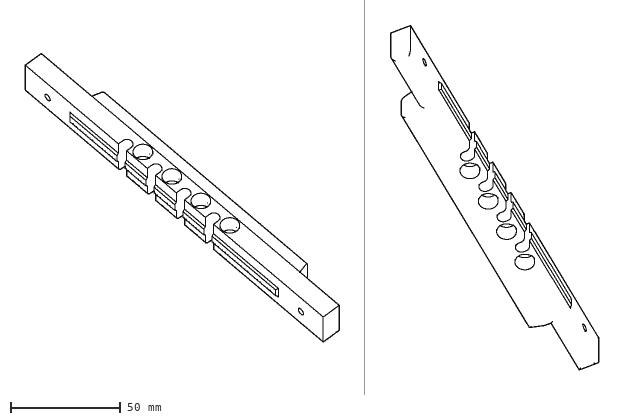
import cadquery as cq

bar_length = 200.0
bar_depth = 10.0
bar_height = 20.0
edge_radius = 2.0

block_length = 140.0
block_depth = 10.0
block_height = 13.5
block_straight_depth = 3.0
block_end_taper = 2.0

strip_length = block_length
strip_height = 6.2
strip_thickness = 1.0
strip_slope_angle = 45.0

cross_hole_diameter = 3.5
cross_hole_inset = 15.0

station_count = 4
station_pitch = 19.45
first_hole_x = -26.4
hole_to_slot = 8.3
pocket_diameter = 9.0
pilot_diameter = 3.0
web_thickness = 2.0
slot_width = 5.5
slot_depth = 5.5


def make_body():
    """Bar and rear block, with the underside rim and the top rear edge rounded."""
    half_bar = bar_length / 2
    half_block = block_length / 2
    half_back = half_block - block_end_taper
    back_y = bar_depth + block_depth
    taper_y = bar_depth + block_straight_depth

    bar = cq.Workplane("XY").box(bar_length, bar_depth, bar_height, centered=(True, False, False))
    block = (
        cq.Workplane("XY")
        .moveTo(-half_block, bar_depth)
        .lineTo(half_block, bar_depth)
        .lineTo(half_block, taper_y)
        .lineTo(half_back, back_y)
        .lineTo(-half_back, back_y)
        .lineTo(-half_block, taper_y)
        .close()
        .extrude(block_height)
    )
    body = bar.union(block)
    body = body.faces("<Z").edges().fillet(edge_radius)
    return body.faces(">Y").edges(">Z").fillet(edge_radius)


def make_strip():
    """Raised strip whose four sides slope inwards towards the front."""
    return (
        cq.Workplane("XZ", origin=(0, 0, bar_height / 2))
        .rect(strip_length, strip_height)
        .extrude(strip_thickness, taper=strip_slope_angle)
    )


def make_cross_hole(x):
    return (
        cq.Workplane("XZ", origin=(x, 0, bar_height / 2))
        .circle(cross_hole_diameter / 2)
        .extrude(-bar_depth)
    )


def make_stepped_hole(x):
    """Pockets from above and below, joined by a pilot hole through the web between them."""
    pocket_depth = (bar_height - web_thickness) / 2
    pockets = cq.Workplane("XY", origin=(x, bar_depth / 2, 0)).circle(pocket_diameter / 2)
    lower = pockets.extrude(pocket_depth)
    upper = lower.translate((0, 0, bar_height - pocket_depth))
    pilot = (
        cq.Workplane("XY", origin=(x, bar_depth / 2, 0))
        .circle(pilot_diameter / 2)
        .extrude(bar_height)
    )
    return lower.union(pilot).union(upper)


def make_slot(x):
    """Full-height slot, open to the front through the strip, with a round inner end."""
    radius = slot_width / 2
    front_y = -strip_thickness
    straight_end_y = slot_depth - radius
    return (
        cq.Workplane("XY")
        .moveTo(x - radius, front_y)
        .lineTo(x + radius, front_y)
        .lineTo(x + radius, straight_end_y)
        .threePointArc((x, slot_depth), (x - radius, straight_end_y))
        .close()
        .extrude(bar_height)
    )


result = make_body().union(make_strip())

cross_hole_x = bar_length / 2 - cross_hole_inset
for side in (-1, 1):
    result = result.cut(make_cross_hole(side * cross_hole_x))

for station in range(station_count):
    hole_x = first_hole_x + station * station_pitch
    result = result.cut(make_stepped_hole(hole_x))
    result = result.cut(make_slot(hole_x - hole_to_slot))